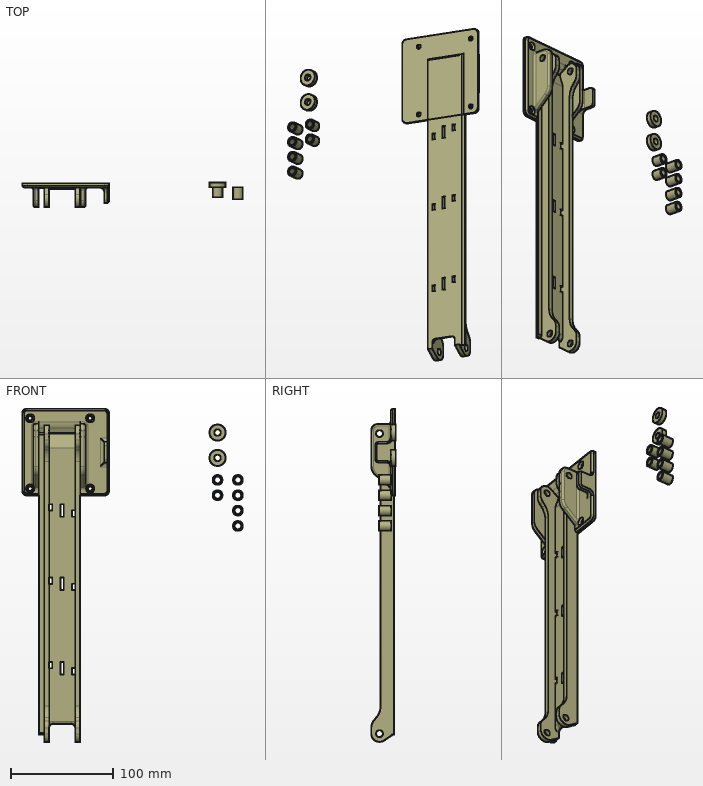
import cadquery as cq
import math


PLATE_WIDTH = 85.2
PLATE_HEIGHT = 85.2
PLATE_THICKNESS = 4.5
PLATE_LEFT = -36.5
PLATE_TOP = 318.0
PLATE_CORNER_RADIUS = 5.0
PLATE_CHAMFER = 2.0

SCREW_HOLE_DIAMETER = 4.2
SCREW_SINK_DIAMETER = 8.0
SCREW_SINK_ANGLE = 90
SCREW_SPACING_X = 58.7
SCREW_SPACING_Z = 69.0
SCREW_LEFT_MARGIN = 7.8
SCREW_TOP_MARGIN = 9.5

PIN_SPAN = 293.7
PIN_DEPTH = 15.3
CHEEK_GAP = 40.8
CHEEK_THICKNESS = 5.2
CHEEK_TOP = 303.0
CHEEK_FRONT = 23.5
CHEEK_TOP_RADIUS = 6.5
CHEEK_LOWER_RADIUS = 11.0
CHEEK_LOWER_CORNER = 256.5
CHEEK_SLOPE_ANGLE = 40
CHEEK_EDGE_RADIUS = 2.0
CHEEK_ROOT_RADIUS = 2.0
CHEEK_HOLE_DIAMETER = 6.5

RECESS_TOP = 305.0
RECESS_ROUND_RADIUS = 13.0
RECESS_SLOPE_ANGLE = 26

CATCH_THICKNESS = 5.0
CATCH_HEIGHT = 20.2
CATCH_MIDDLE = 275.5
CATCH_FRONT = 19.5
CATCH_ROOT_RADIUS = 4.0
CATCH_TIP_RADIUS = 3.3
CATCH_CHAMFER = 1.5

ARM_WIDTH = 40.5
ARM_BACK = 1.0
ARM_WALL_THICKNESS = 5.0
ARM_WALL_FRONT = 14.5
ARM_HOLE_DIAMETER = 6.5
LUG_RADIUS = 8.0
LUG_FRONT_CORNER = 9.8
LUG_WALL_CORNER = 21.0
LUG_FRONT_RADIUS = 10.8
LUG_WALL_RADIUS = 18.0
LIP_WIDTH = 5.2
LIP_THICKNESS = 4.2
LIP_OVERHANG = 1.0
LIP_CHAMFER = 2.0
WEB_THICKNESS = 5.0
WEB_BOTTOM = 9.5
WEB_BEVEL_LENGTH = 13.7
WEB_TIP_THICKNESS = 0.5
WEB_CORNER_RADIUS = 4.0
WEB_EDGE_RADIUS = 3.0

SLOT_WIDTH = 3.0
SLOT_LENGTH = 12.0
SLOT_TOPS = [224.5, 152.7, 70.0]

LOOSE_COLUMN_X = 154.7
LOOSE_COLUMN_SPACING = 20.0
WASHER_BACK_Y = 0.5
WASHER_DIAMETER = 16.0
WASHER_HOLE_DIAMETER = 6.2
WASHER_THICKNESS = 5.0
WASHER_TOP_ROW = 294.5
WASHER_SPACING = 24.8
WASHER_COUNT = 2
SLEEVE_BACK_Y = -4.0
SLEEVE_DIAMETER = 9.8
SLEEVE_HOLE_DIAMETER = 6.5
SLEEVE_TOP_ROW = 248.3
SLEEVE_SPACING = 15.0
SHORT_SLEEVE_LENGTH = 10.0
SHORT_SLEEVE_COUNT = 2
LONG_SLEEVE_LENGTH = 12.0
LONG_SLEEVE_COUNT = 4

MARGIN = 0.03

PLATE_RIGHT = PLATE_LEFT + PLATE_WIDTH
PLATE_BOTTOM = PLATE_TOP - PLATE_HEIGHT
ARM_LEFT = -ARM_WIDTH / 2
ARM_RIGHT = ARM_WIDTH / 2
LEFT_WALL_X = ARM_LEFT + LIP_WIDTH
RIGHT_WALL_X = ARM_RIGHT - ARM_WALL_THICKNESS
WEB_LEFT = LEFT_WALL_X + ARM_WALL_THICKNESS
WEB_SPAN = RIGHT_WALL_X - WEB_LEFT
WEB_FRONT = ARM_BACK + WEB_THICKNESS


def block(x0, x1, back, front, z0, z1):
    """Box between two X positions, two depths in front of the plate's back, and two heights."""
    corner = cq.Workplane("XY", origin=(x0, -front, z0))
    return corner.box(x1 - x0, front - back, z1 - z0, centered=False)


def side_profile(points, x0, thickness):
    """Extrude (depth, Z) points along +X from x0, where depth runs toward -Y."""
    outline = [(-depth, z) for depth, z in points]
    return cq.Workplane("YZ", origin=(x0, 0, 0)).polyline(outline).close().extrude(thickness)


def rod_x(diameter, depth, z, x0, x1):
    """Cylinder along X, used to bore the pin holes."""
    return cq.Workplane("YZ", origin=(x0, -depth, z)).circle(diameter / 2).extrude(x1 - x0)


def edge_near(x, depth, z):
    """Selector for the edge whose middle lies nearest to a point."""
    return cq.selectors.NearestToPointSelector((x, -depth, z))


def make_plate_blank():
    plate = block(PLATE_LEFT, PLATE_RIGHT, 0, PLATE_THICKNESS, PLATE_BOTTOM, PLATE_TOP)
    return plate.edges("|Y").fillet(PLATE_CORNER_RADIUS).faces("<Y").edges().chamfer(PLATE_CHAMFER)


def make_cheek():
    """Left cheek, with a thin foot inside the plate so that its root can be rounded."""
    inner_x = -CHEEK_GAP / 2
    outer_x = inner_x - CHEEK_THICKNESS
    foot_depth = PLATE_THICKNESS / 2
    slope_drop = (CHEEK_FRONT - foot_depth) * math.tan(math.radians(CHEEK_SLOPE_ANGLE))
    foot_z = CHEEK_LOWER_CORNER - slope_drop
    points = [
        (foot_depth, CHEEK_TOP),
        (CHEEK_FRONT, CHEEK_TOP),
        (CHEEK_FRONT, CHEEK_LOWER_CORNER),
        (foot_depth, foot_z),
    ]
    middle_x = (inner_x + outer_x) / 2
    cheek = side_profile(points, outer_x, CHEEK_THICKNESS)
    cheek = cheek.edges(edge_near(middle_x, CHEEK_FRONT, CHEEK_TOP)).fillet(CHEEK_TOP_RADIUS)
    cheek = cheek.edges(edge_near(middle_x, CHEEK_FRONT, CHEEK_LOWER_CORNER)).fillet(CHEEK_LOWER_RADIUS)
    front_edge_z = (CHEEK_TOP + CHEEK_LOWER_CORNER) / 2
    front_edge = cheek.edges(edge_near(outer_x, CHEEK_FRONT, front_edge_z))
    cheek = front_edge.fillet(CHEEK_EDGE_RADIUS)
    foot = block(
        outer_x - 2 * CHEEK_ROOT_RADIUS, inner_x, foot_depth, PLATE_THICKNESS,
        foot_z - CHEEK_ROOT_RADIUS, CHEEK_TOP + 2 * CHEEK_ROOT_RADIUS,
    )
    cheek = foot.union(cheek)
    root = cq.selectors.BoxSelector(
        (outer_x - CHEEK_ROOT_RADIUS / 2, -PLATE_THICKNESS - MARGIN, foot_z),
        (inner_x + MARGIN, -PLATE_THICKNESS + MARGIN, CHEEK_TOP + CHEEK_ROOT_RADIUS),
    )
    return cheek.edges(root).fillet(CHEEK_ROOT_RADIUS)


def make_recess():
    """Clearance behind the arm: rounded lip, slope down to the floor, open at the plate's bottom."""
    angle = math.radians(RECESS_SLOPE_ANGLE)
    round_z = RECESS_TOP - RECESS_ROUND_RADIUS * math.sin(angle)
    round_depth = PLATE_THICKNESS - RECESS_ROUND_RADIUS * (1 - math.cos(angle))
    middle_z = RECESS_TOP - RECESS_ROUND_RADIUS * math.sin(angle / 2)
    middle_depth = PLATE_THICKNESS - RECESS_ROUND_RADIUS * (1 - math.cos(angle / 2))
    floor_z = round_z - (round_depth - ARM_BACK) / math.tan(angle)
    return (
        cq.Workplane("YZ", origin=(-CHEEK_GAP / 2, 0, 0))
        .moveTo(-PLATE_THICKNESS, RECESS_TOP)
        .threePointArc((-middle_depth, middle_z), (-round_depth, round_z))
        .lineTo(-ARM_BACK, floor_z)
        .lineTo(-ARM_BACK, PLATE_BOTTOM)
        .lineTo(-PLATE_THICKNESS, PLATE_BOTTOM)
        .close()
        .extrude(CHEEK_GAP)
    )


def make_catch():
    """Upright tab flush with the plate's right edge, flared where it meets the plate."""
    left = PLATE_RIGHT - CATCH_THICKNESS
    bottom = CATCH_MIDDLE - CATCH_HEIGHT / 2
    top = CATCH_MIDDLE + CATCH_HEIGHT / 2
    flare = CATCH_ROOT_RADIUS + MARGIN
    foot = block(left - flare, PLATE_RIGHT, 0, PLATE_THICKNESS, bottom - flare, top + flare)
    tab = block(left, PLATE_RIGHT, 0, CATCH_FRONT, bottom, top)
    tab = tab.faces("<Y").edges("|X").fillet(CATCH_TIP_RADIUS)
    root = cq.selectors.BoxSelector(
        (left - MARGIN, -PLATE_THICKNESS - MARGIN, bottom - MARGIN),
        (PLATE_RIGHT - MARGIN, -PLATE_THICKNESS + MARGIN, top + MARGIN),
    )
    catch = foot.union(tab).edges(root).fillet(CATCH_ROOT_RADIUS)
    return catch.edges(edge_near(PLATE_RIGHT, CATCH_FRONT, CATCH_MIDDLE)).chamfer(CATCH_CHAMFER)


def drill_screw_holes(plate):
    left = PLATE_LEFT + SCREW_LEFT_MARGIN
    top = PLATE_TOP - SCREW_TOP_MARGIN
    centres = [(left + i * SCREW_SPACING_X, top - j * SCREW_SPACING_Z) for i in (0, 1) for j in (0, 1)]
    front = cq.Workplane("XZ", origin=(0, -PLATE_THICKNESS, 0))
    holes = plate.copyWorkplane(front).pushPoints(centres)
    return holes.cskHole(SCREW_HOLE_DIAMETER, SCREW_SINK_DIAMETER, SCREW_SINK_ANGLE)


def make_wall_bracket():
    cheek = make_cheek()
    bracket = make_plate_blank().union(cheek).union(cheek.mirror("YZ")).union(make_catch())
    bracket = bracket.cut(make_recess())
    bracket = bracket.cut(rod_x(CHEEK_HOLE_DIAMETER, PIN_DEPTH, PIN_SPAN, -CHEEK_GAP, CHEEK_GAP))
    return drill_screw_holes(bracket)


def make_lower_half_wall():
    """Lower half of an arm wall: a bar that swells forward around the pin hole at Z = 0."""
    lug_front = PIN_DEPTH + LUG_RADIUS
    reach = PIN_DEPTH - ARM_BACK
    tangent_angle = math.asin(LUG_RADIUS / reach)
    touch_depth = PIN_DEPTH - LUG_RADIUS * math.sin(tangent_angle)
    touch_z = -LUG_RADIUS * math.cos(tangent_angle)
    half_turn = (math.pi / 2 - tangent_angle) / 2
    arc_depth = PIN_DEPTH + LUG_RADIUS * math.sin(half_turn)
    arc_z = -LUG_RADIUS * math.cos(half_turn)
    return (
        cq.Workplane("YZ")
        .moveTo(-ARM_BACK, PIN_SPAN / 2)
        .lineTo(-ARM_BACK, 0)
        .lineTo(-touch_depth, touch_z)
        .threePointArc((-arc_depth, arc_z), (-lug_front, 0))
        .lineTo(-lug_front, LUG_FRONT_CORNER)
        .lineTo(-ARM_WALL_FRONT, LUG_WALL_CORNER)
        .lineTo(-ARM_WALL_FRONT, PIN_SPAN / 2)
        .close()
        .extrude(ARM_WALL_THICKNESS)
        .edges(edge_near(ARM_WALL_THICKNESS / 2, lug_front, LUG_FRONT_CORNER))
        .fillet(LUG_FRONT_RADIUS)
        .edges(edge_near(ARM_WALL_THICKNESS / 2, ARM_WALL_FRONT, LUG_WALL_CORNER))
        .fillet(LUG_WALL_RADIUS)
    )


def make_arm_wall(x0):
    """Side wall with a lug at each end."""
    lower = make_lower_half_wall()
    upper = lower.mirror("XY", (0, 0, PIN_SPAN / 2))
    return lower.union(upper).translate((x0, 0, 0))


def make_web():
    """Back of the channel, bevelled at its upper end."""
    points = [
        (ARM_BACK, WEB_BOTTOM - WEB_CORNER_RADIUS),
        (WEB_FRONT, WEB_BOTTOM - WEB_CORNER_RADIUS),
        (WEB_FRONT, PIN_SPAN - WEB_BEVEL_LENGTH),
        (ARM_BACK + WEB_TIP_THICKNESS, PIN_SPAN),
        (ARM_BACK, PIN_SPAN),
    ]
    web = side_profile(points, WEB_LEFT, WEB_SPAN)
    notch = block(
        WEB_LEFT, WEB_LEFT + WEB_SPAN, ARM_BACK, WEB_FRONT, WEB_BOTTOM - 2 * WEB_CORNER_RADIUS, WEB_BOTTOM
    )
    notch = notch.faces(">Z").edges("|Y").fillet(WEB_CORNER_RADIUS)
    web = web.cut(notch)
    return web.edges(edge_near(WEB_LEFT + WEB_SPAN / 2, WEB_FRONT, WEB_BOTTOM)).fillet(WEB_EDGE_RADIUS)


def make_lip():
    """Narrow flange along the left of the arm, chamfered at its ends and its outer back edge."""
    lip = block(
        ARM_LEFT, LEFT_WALL_X, ARM_BACK, ARM_BACK + LIP_THICKNESS, -LIP_OVERHANG, PIN_SPAN + LIP_OVERHANG
    )
    lip = lip.faces("<Y").edges("|X").chamfer(LIP_CHAMFER)
    return lip.faces(">Y").edges("<X").chamfer(LIP_CHAMFER)


def make_slots():
    """Rows of one full slot in the middle and two half-length slots beside the walls."""
    middle = WEB_LEFT + WEB_SPAN / 2
    right = WEB_LEFT + WEB_SPAN
    half = SLOT_LENGTH / 2
    slots = cq.Workplane("XY")
    for top in SLOT_TOPS:
        bottom = top - SLOT_LENGTH
        slots = slots.union(
            block(middle - SLOT_WIDTH / 2, middle + SLOT_WIDTH / 2, ARM_BACK, WEB_FRONT, bottom, top)
        )
        slots = slots.union(block(WEB_LEFT, WEB_LEFT + SLOT_WIDTH, ARM_BACK, WEB_FRONT, top - half, top))
        slots = slots.union(block(right - SLOT_WIDTH, right, ARM_BACK, WEB_FRONT, bottom, bottom + half))
    return slots


def make_arm():
    arm = make_web().union(make_arm_wall(LEFT_WALL_X)).union(make_arm_wall(RIGHT_WALL_X))
    arm = arm.union(make_lip()).cut(make_slots())
    for z in (0, PIN_SPAN):
        arm = arm.cut(rod_x(ARM_HOLE_DIAMETER, PIN_DEPTH, z, ARM_LEFT, ARM_RIGHT))
    return arm


def make_ring(x, back, z, outer_diameter, hole_diameter, length):
    """Plain ring along Y whose back end lies at Y = back."""
    ends = cq.Workplane("XZ", origin=(x, back, z)).circle(outer_diameter / 2).circle(hole_diameter / 2)
    return ends.extrude(length)


def make_washer(row):
    z = WASHER_TOP_ROW - row * WASHER_SPACING
    return make_ring(
        LOOSE_COLUMN_X, WASHER_BACK_Y, z, WASHER_DIAMETER, WASHER_HOLE_DIAMETER, WASHER_THICKNESS
    )


def make_sleeve(x, row, length):
    z = SLEEVE_TOP_ROW - row * SLEEVE_SPACING
    return make_ring(x, SLEEVE_BACK_Y, z, SLEEVE_DIAMETER, SLEEVE_HOLE_DIAMETER, length)


def make_short_sleeve(row):
    return make_sleeve(LOOSE_COLUMN_X, row, SHORT_SLEEVE_LENGTH)


def make_long_sleeve(row):
    return make_sleeve(LOOSE_COLUMN_X + LOOSE_COLUMN_SPACING, row, LONG_SLEEVE_LENGTH)


wall_bracket = make_wall_bracket()
arm = make_arm()
washers = [make_washer(row) for row in range(WASHER_COUNT)]
short_sleeves = [make_short_sleeve(row) for row in range(SHORT_SLEEVE_COUNT)]
long_sleeves = [make_long_sleeve(row) for row in range(LONG_SLEEVE_COUNT)]

bodies = [wall_bracket, arm, *washers, *short_sleeves, *long_sleeves]
result = cq.Compound.makeCompound([body.solids().val() for body in bodies])